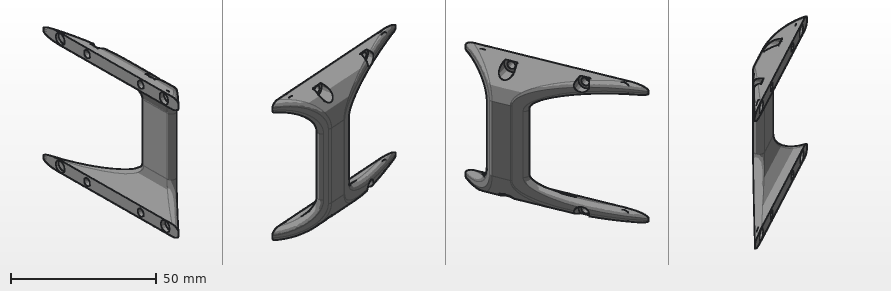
import cadquery as cq
import math

length = 70.4
depth = 13.0

thickness = 5.0
inner_bend_radius = 9.9
inner_bend_center = (depth - thickness - inner_bend_radius, 13.2)
outer_bend_radius = depth
outer_bend_center = (0, 14.9)
foot_overrun = 1.4

back_left_x = 11.35
back_right_x = 19.4
edge_radius = 2.0

hole_z = 25.55
screw_diameter = 3.0
left_screw_x = -12.45
right_screw_x = 15.4
left_pocket_diameter = 5.2
left_pocket_floor_y = 3.3
right_pocket_diameter = 5.55
right_pocket_floor_y = 4.3

recess_diameter = 4.5
left_recess_z = 25.5
right_recess_z = 25.35
left_recess_depth = 1.3
right_recess_depth = 2.0
left_recess_x = -26.4
upper_right_recess_x = 27.45
lower_right_recess_x = 28.2


def bend_point(center, radius, angle, side):
    """Point (y, z) on a bend; the angle is measured from +Y, side is +1 or -1 along Z."""
    y = center[0] + radius * math.cos(angle)
    z = center[1] + radius * math.sin(angle)
    return (y, side * z)


def bend_end_angle(center, radius):
    """Angle at which a bend reaches the bottom of the overrun."""
    return math.acos((-foot_overrun - center[0]) / radius)


def make_handle():
    """C-shaped section extruded along the length."""
    inner_end = bend_end_angle(inner_bend_center, inner_bend_radius)
    outer_end = bend_end_angle(outer_bend_center, outer_bend_radius)

    def inner(fraction, side):
        return bend_point(inner_bend_center, inner_bend_radius, fraction * inner_end, side)

    def outer(fraction, side):
        return bend_point(outer_bend_center, outer_bend_radius, fraction * outer_end, side)

    return (
        cq.Workplane("YZ")
        .moveTo(*outer(1, -1))
        .threePointArc(outer(0.5, -1), outer(0, -1))
        .lineTo(*outer(0, 1))
        .threePointArc(outer(0.5, 1), outer(1, 1))
        .lineTo(*inner(1, 1))
        .threePointArc(inner(0.5, 1), inner(0, 1))
        .lineTo(*inner(0, -1))
        .threePointArc(inner(0.5, -1), inner(1, -1))
        .close()
        .extrude(length, both=True)
    )


def make_taper():
    """Trapezoidal prism along Z whose sides are the slanted end faces."""
    left_run = (back_left_x + length / 2) / depth
    right_run = (length / 2 - back_right_x) / depth
    return (
        cq.Workplane("XY")
        .polyline([
            (-length / 2 - left_run * foot_overrun, -foot_overrun),
            (length / 2 + right_run * foot_overrun, -foot_overrun),
            (back_right_x, depth),
            (back_left_x, depth),
        ])
        .close()
        .extrude(length, both=True)
    )


def cylinder_along_y(diameter, x, z, start_y, end_y):
    base = cq.Vector(x, start_y, z)
    return cq.Solid.makeCylinder(diameter / 2, end_y - start_y, base, cq.Vector(0, 1, 0))


body = make_handle().intersect(make_taper())

slanted_faces = [
    face for face in body.faces("%PLANE").vals()
    if 0.1 < abs(face.normalAt().x) < 0.99
]
long_edges = [
    edge for face in slanted_faces for edge in face.Edges()
    if edge.BoundingBox().ymax > 0 and edge.Center().y < depth - 0.01
]
body = body.newObject(long_edges).fillet(edge_radius)

trim = cq.Workplane("XY").box(2 * length, depth, length).translate((0, -depth / 2, 0))
body = body.cut(trim)

screws = [
    (left_screw_x, left_pocket_diameter, left_pocket_floor_y),
    (right_screw_x, right_pocket_diameter, right_pocket_floor_y),
]
for side in (1, -1):
    z = side * hole_z
    for x, pocket_diameter, floor_y in screws:
        body = body.cut(cylinder_along_y(screw_diameter, x, z, 0, depth))
        body = body.cut(cylinder_along_y(pocket_diameter, x, z, floor_y, depth))

recesses = [
    (left_recess_x, left_recess_z, left_recess_depth),
    (left_recess_x, -left_recess_z, left_recess_depth),
    (upper_right_recess_x, right_recess_z, right_recess_depth),
    (lower_right_recess_x, -right_recess_z, right_recess_depth),
]
for x, z, recess_depth in recesses:
    body = body.cut(cylinder_along_y(recess_diameter, x, z, 0, recess_depth))

result = body